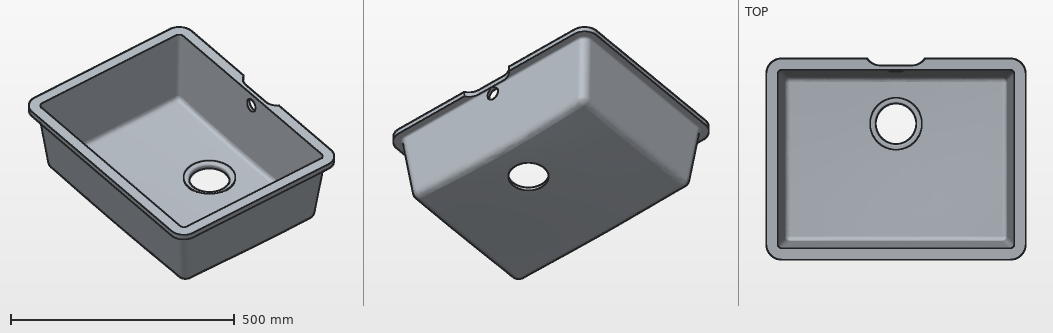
import cadquery as cq
import math

LENGTH = 580.0
WIDTH = 450.0
HEIGHT = 193.0
RIM_THICKNESS = 14.0
RIM_CORNER_RADIUS = 35.0

DRAFT_ANGLE = 6.0
OUTER_INSET = 18.0
INNER_INSET = 25.5
OUTER_RADIUS = 20.0
INNER_RADIUS = 10.5
RIM_FILLET = 5.0

INNER_DEPTH = 177.0
OUTER_RISE = 8.5
INNER_RISE = 6.0
WALL_REACH = 238.0
MIDWAY_REACH = 130.5
CORNER_REACH = 377.0
MIDWAY_RISE_SHARE = 0.3
CORNER_RISE_SHARE = 1.55

DRAIN_Y = 79.0
DRAIN_DIAMETER = 90.0
DRAIN_EDGE_RADIUS = 5.0
SEAT_DIAMETER = 116.0
SEAT_DEPTH = 4.0
SEAT_LIP_RADIUS = 2.5

OVERFLOW_DIAMETER = 30.0
OVERFLOW_DEPTH = 29.0
OVERFLOW_CUT = 58.0

NOTCH_FLAT = 71.5
NOTCH_DEPTH = 15.5
NOTCH_RADIUS = 35.0

BACK_Y = WIDTH / 2


def dish(lowest_depth, wall_rise):
    """Solid of revolution about the drain axis whose underside is the floor surface."""
    land_radius = SEAT_DIAMETER / 2 + SEAT_LIP_RADIUS
    rise_points = [
        (MIDWAY_REACH, MIDWAY_RISE_SHARE * wall_rise - lowest_depth),
        (WALL_REACH, wall_rise - lowest_depth),
        (CORNER_REACH, CORNER_RISE_SHARE * wall_rise - lowest_depth),
    ]
    return (
        cq.Workplane("YZ", origin=(0, DRAIN_Y, 0))
        .moveTo(0, -lowest_depth)
        .lineTo(land_radius, -lowest_depth)
        .spline(rise_points, includeCurrent=True)
        .lineTo(LENGTH, CORNER_RISE_SHARE * wall_rise - lowest_depth)
        .lineTo(LENGTH, 0)
        .lineTo(0, 0)
        .close()
        .revolve(360, (0, 0, 0), (0, 1, 0))
    )


def tub(inset, lowest_depth, wall_rise, edge_radius):
    """Drafted block with a dished bottom, rounded on its corners and bottom edges."""
    block = (
        cq.Workplane("XY")
        .rect(LENGTH - 2 * inset, WIDTH - 2 * inset)
        .extrude(-HEIGHT, taper=DRAFT_ANGLE)
    )
    block = block.intersect(dish(lowest_depth, wall_rise))
    inner_half_width = WIDTH / 2 - 2 * inset - edge_radius
    in_floor = cq.selectors.BoxSelector(
        (-LENGTH / 4, -inner_half_width, -HEIGHT), (LENGTH / 4, inner_half_width, -HEIGHT / 2)
    )
    below_top = cq.selectors.StringSyntaxSelector("not >Z")
    return block.edges(below_top - in_floor).fillet(edge_radius)


def rim():
    """Flat rim plate with rounded corners."""
    plate = cq.Workplane("XY").rect(LENGTH, WIDTH).extrude(-RIM_THICKNESS)
    return plate.edges("|Z").fillet(RIM_CORNER_RADIUS)


def under_rim_edges():
    """Selector for the edges where the bowl meets the underside of the rim."""
    tolerance = 0.5
    return cq.selectors.BoxSelector(
        (-LENGTH / 2 + OUTER_INSET, -BACK_Y + OUTER_INSET, -RIM_THICKNESS - tolerance),
        (LENGTH / 2 - OUTER_INSET, BACK_Y - OUTER_INSET, -RIM_THICKNESS + tolerance),
    )


def notch():
    """Flat-bottomed cutter whose ends are arcs tangent to the flat."""
    run = math.sqrt(NOTCH_RADIUS**2 - (NOTCH_RADIUS - NOTCH_DEPTH) ** 2)
    half_flat = NOTCH_FLAT / 2
    half_mouth = half_flat + run
    floor_y = BACK_Y - NOTCH_DEPTH
    return (
        cq.Workplane("XY")
        .moveTo(-half_mouth, BACK_Y)
        .radiusArc((-half_flat, floor_y), -NOTCH_RADIUS)
        .lineTo(half_flat, floor_y)
        .radiusArc((half_mouth, BACK_Y), -NOTCH_RADIUS)
        .close()
        .extrude(-RIM_THICKNESS - RIM_FILLET)
    )


def drain():
    """Revolved cutter: rounded lip, flat seat, and a through hole with a rounded edge."""
    hole_radius = DRAIN_DIAMETER / 2
    seat_radius = SEAT_DIAMETER / 2
    seat_z = -INNER_DEPTH - SEAT_DEPTH
    return (
        cq.Workplane("YZ", origin=(0, DRAIN_Y, 0))
        .moveTo(0, -INNER_DEPTH)
        .lineTo(seat_radius + SEAT_LIP_RADIUS, -INNER_DEPTH)
        .radiusArc((seat_radius, -INNER_DEPTH - SEAT_LIP_RADIUS), -SEAT_LIP_RADIUS)
        .lineTo(seat_radius, seat_z)
        .lineTo(hole_radius + DRAIN_EDGE_RADIUS, seat_z)
        .radiusArc((hole_radius, seat_z - DRAIN_EDGE_RADIUS), -DRAIN_EDGE_RADIUS)
        .lineTo(hole_radius, -HEIGHT)
        .lineTo(0, -HEIGHT)
        .close()
        .revolve(360, (0, 0, 0), (0, 1, 0))
    )


def overflow():
    """Round cutter through the back wall."""
    return (
        cq.Workplane("XZ", origin=(0, BACK_Y, -OVERFLOW_DEPTH))
        .circle(OVERFLOW_DIAMETER / 2)
        .extrude(OVERFLOW_CUT)
    )


body = rim().union(tub(OUTER_INSET, HEIGHT, OUTER_RISE, OUTER_RADIUS))
body = body.edges(under_rim_edges()).fillet(RIM_FILLET)
body = body.cut(tub(INNER_INSET, INNER_DEPTH, INNER_RISE, INNER_RADIUS))
result = body.cut(notch()).cut(drain()).cut(overflow())